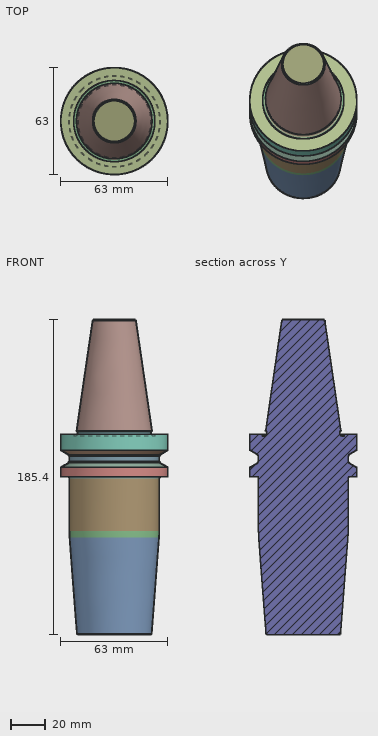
import cadquery as cq
import math

TOTAL_LENGTH = 185.4
TAPER_LENGTH = 65.5
FLANGE_GAP = 2.0
FLANGE_HEIGHT = 25.0
UPPER_RIM_HEIGHT = 9.5
GROOVE_WIDTH = 10.0
NOSE_CONE_LENGTH = 57.1
BLEND_HEIGHT = 3.9

GAUGE_RADIUS = 22.2
FLANGE_RADIUS = 31.5
BODY_RADIUS = 26.5
NOSE_RADIUS = 22.0
NECK_RADIUS = 21.7
RELIEF_RADIUS = 24.0

TAPER_RATIO = 7 / 48
TOP_CHAMFER = 0.7
NOSE_CHAMFER = 0.7
RELIEF_DEPTH = 1.0
NECK_FILLET = 1.1
GROOVE_FILLET = 1.0
SHOULDER_FILLET = 1.0
GROOVE_FLANK_ANGLE = 30.0

gauge_z = TOTAL_LENGTH - TAPER_LENGTH
flange_top = gauge_z - FLANGE_GAP
flange_bottom = flange_top - FLANGE_HEIGHT
groove_top = flange_top - UPPER_RIM_HEIGHT
groove_bottom = groove_top - GROOVE_WIDTH
flank_angle = math.radians(GROOVE_FLANK_ANGLE)
flank_height = (FLANGE_RADIUS - BODY_RADIUS) * math.tan(flank_angle)

fillet_setback = GROOVE_FILLET * math.tan((math.pi / 2 - flank_angle) / 2)
fillet_radius = BODY_RADIUS + fillet_setback * math.cos(flank_angle)
fillet_drop = fillet_setback * math.sin(flank_angle)
root_bottom = groove_bottom + flank_height + fillet_setback
root_top = groove_top - flank_height - fillet_setback

top_radius = GAUGE_RADIUS - TAPER_LENGTH * TAPER_RATIO
blend_bottom = NOSE_CONE_LENGTH
blend_top = blend_bottom + BLEND_HEIGHT

cone_angle = math.atan2(BODY_RADIUS - NOSE_RADIUS, blend_bottom + BLEND_HEIGHT / 2)
blend_radius = BODY_RADIUS - BLEND_HEIGHT * math.tan(cone_angle / 2)


def make_shank():
    """Revolve the taper, neck and body profile, with the face ring cut below the neck."""
    neck_floor = flange_top - RELIEF_DEPTH
    profile = (
        cq.Workplane("XZ")
        .moveTo(0, 0)
        .lineTo(NOSE_RADIUS - NOSE_CHAMFER, 0)
        .lineTo(NOSE_RADIUS, NOSE_CHAMFER)
        .lineTo(blend_radius, blend_bottom)
        .tangentArcPoint((BODY_RADIUS, blend_top), relative=False)
        .lineTo(BODY_RADIUS, flange_bottom - SHOULDER_FILLET)
        .radiusArc((BODY_RADIUS + SHOULDER_FILLET, flange_bottom), SHOULDER_FILLET)
        .lineTo(FLANGE_RADIUS, flange_bottom)
        .lineTo(FLANGE_RADIUS, groove_bottom)
        .lineTo(fillet_radius, groove_bottom + flank_height - fillet_drop)
        .radiusArc((BODY_RADIUS, root_bottom), -GROOVE_FILLET)
        .lineTo(BODY_RADIUS, root_top)
        .radiusArc((fillet_radius, groove_top - flank_height + fillet_drop), -GROOVE_FILLET)
        .lineTo(FLANGE_RADIUS, groove_top)
        .lineTo(FLANGE_RADIUS, flange_top)
        .lineTo(RELIEF_RADIUS, flange_top)
        .lineTo(RELIEF_RADIUS, neck_floor)
        .lineTo(NECK_RADIUS + NECK_FILLET, neck_floor)
        .radiusArc((NECK_RADIUS, neck_floor + NECK_FILLET), NECK_FILLET)
        .lineTo(NECK_RADIUS, gauge_z - (GAUGE_RADIUS - NECK_RADIUS))
        .lineTo(GAUGE_RADIUS, gauge_z)
        .lineTo(top_radius + TOP_CHAMFER * TAPER_RATIO, TOTAL_LENGTH - TOP_CHAMFER)
        .lineTo(top_radius - TOP_CHAMFER, TOTAL_LENGTH)
        .lineTo(0, TOTAL_LENGTH)
        .close()
    )
    return profile.revolve(360, (0, 0, 0), (0, 1, 0))


result = make_shank()